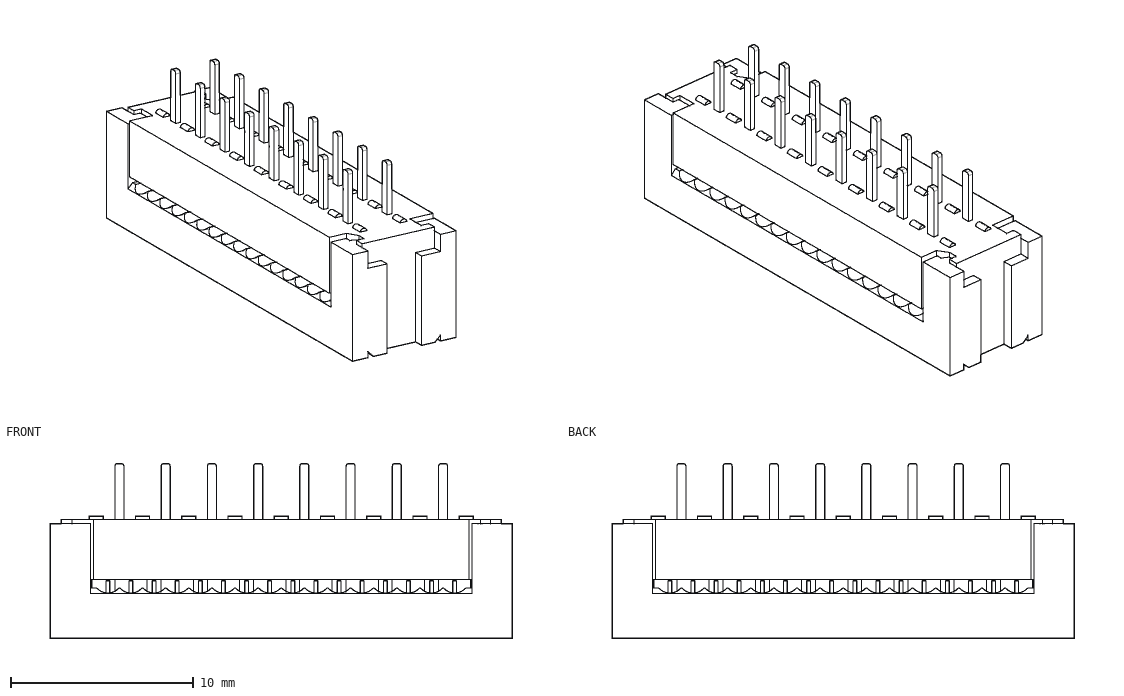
import cadquery as cq



LENGTH = 25.4
WIDTH = 6.73
PIN_TOP = 9.6

WALL_TOP = 6.3
WALL_LENGTH = 2.24
WALL_THICKNESS = 1.02
WALL_END_X = LENGTH / 2 - WALL_LENGTH
WALL_INNER_Y = WIDTH / 2 - WALL_THICKNESS

BODY_LENGTH = 24.18
BODY_TOP = 6.53
BODY_FACE_LENGTH = 20.62

WINDOW_FLOOR = 2.46
WINDOW_TOP = 3.23

PITCH = 1.27
WIRES = 16
RIDGE_HEIGHT = 0.3
GROOVE_DEPTH = 0.28
RIDGE_INNER_Y = 1.93
GROOVE_RADIUS = 0.81

RIB_INNER_Y = 1.12
RIB_TOP = 5.28
RIB_CHAMFER = 0.35

TAB_OUTER_X = 11.48
TAB_TIP_Y = 1.93
POCKET_TIP_Y = 1.85
KEYED_TAB_ROOT_X = 10.8
KEYED_TAB_TIP_X = 11.02
KEYED_POCKET_TIP_X = 10.95
KEYED_POCKET_END_Y = 2.25

ROW_Y = 1.27
CONTACT_THICKNESS = 0.3
BLADE_WIDTH = 1.78
SLIT_WIDTH = 0.19
SLIT_TOP = 3.15
PIN_WIDTH = 0.5
PIN_TIP_RADIUS = 0.15

BUMP_COUNT = 9
BUMP_LENGTH = 0.8
BUMP_HEIGHT = 0.18
BUMP_RADIUS = 0.23
BUMP_Y = 1.3


def block(x0, x1, y0, y1, z0, z1):
    """Box given by its limits along each axis."""
    return cq.Workplane("XY").box(x1 - x0, y1 - y0, z1 - z0, centered=False).translate((x0, y0, z0))


def prism(points, z0, z1):
    """Upright prism on a plan outline."""
    return cq.Workplane("XY").workplane(offset=z0).polyline(points).close().extrude(z1 - z0)


def both_ends(shape):
    """The shape together with its half-turn copy about Z."""
    return shape.union(shape.rotate((0, 0, 0), (0, 0, 1), 180))


def housing():
    """Full-height core with the cover base and the wide body around it, crossed by the cable window."""
    half_y = WIDTH / 2
    core = block(-BODY_LENGTH / 2, BODY_LENGTH / 2, -WALL_INNER_Y, WALL_INNER_Y, 0, BODY_TOP)
    base = block(-LENGTH / 2, LENGTH / 2, -half_y, half_y, 0, WINDOW_FLOOR)
    notch = block(-LENGTH / 2, LENGTH / 2, -WALL_INNER_Y, WALL_INNER_Y, 0, WINDOW_FLOOR)
    face_x = BODY_FACE_LENGTH / 2
    upper = block(-face_x, face_x, -half_y, half_y, WINDOW_TOP, BODY_TOP)
    window = block(-WALL_END_X, WALL_END_X, -half_y, half_y, WINDOW_FLOOR, WINDOW_TOP)
    return core.union(base.cut(notch)).union(upper).cut(window)


def pocket_outlines():
    """Plan outlines of the square pocket at -X -Y and the keyed pocket at -X +Y."""
    face_x = BODY_FACE_LENGTH / 2
    square = [
        (-TAB_OUTER_X, -WALL_INNER_Y),
        (-TAB_OUTER_X, -POCKET_TIP_Y),
        (-face_x, -POCKET_TIP_Y),
        (-face_x, -WALL_INNER_Y),
    ]
    keyed = [
        (-TAB_OUTER_X, WALL_INNER_Y),
        (-TAB_OUTER_X, POCKET_TIP_Y),
        (-KEYED_POCKET_TIP_X, POCKET_TIP_Y),
        (-face_x, KEYED_POCKET_END_Y),
        (-face_x, WALL_INNER_Y),
    ]
    return square, keyed


def tab_outlines():
    """Plan outlines of the square tab at -X -Y and the keyed tab at -X +Y."""
    square = [
        (-TAB_OUTER_X, -WALL_INNER_Y),
        (-TAB_OUTER_X, -TAB_TIP_Y),
        (-WALL_END_X, -TAB_TIP_Y),
        (-WALL_END_X, -WALL_INNER_Y),
    ]
    keyed = [
        (-TAB_OUTER_X, WALL_INNER_Y),
        (-TAB_OUTER_X, TAB_TIP_Y),
        (-KEYED_TAB_TIP_X, TAB_TIP_Y),
        (-KEYED_TAB_ROOT_X, WALL_INNER_Y),
    ]
    return square, keyed


def pockets():
    square, keyed = pocket_outlines()
    pair = prism(square, WINDOW_TOP, BODY_TOP).union(prism(keyed, WINDOW_TOP, BODY_TOP))
    return both_ends(pair)


def walls():
    """Corner walls with their locking tabs."""
    square, keyed = tab_outlines()
    front = block(-LENGTH / 2, -WALL_END_X, -WIDTH / 2, -WALL_INNER_Y, 0, WALL_TOP)
    front = front.union(prism(square, WINDOW_FLOOR, WALL_TOP))
    back = block(-LENGTH / 2, -WALL_END_X, WALL_INNER_Y, WIDTH / 2, 0, WALL_TOP)
    back = back.union(prism(keyed, WINDOW_FLOOR, WALL_TOP))
    return both_ends(front.union(back))


def end_ribs():
    """Ribs beside the walls, bevelled at the bottom where they meet them."""
    profile = [
        (RIB_INNER_Y, 0),
        (WALL_INNER_Y - RIB_CHAMFER, 0),
        (WALL_INNER_Y, RIB_CHAMFER),
        (WALL_INNER_Y, RIB_TOP),
        (RIB_INNER_Y, RIB_TOP),
    ]
    rib_depth = (LENGTH - BODY_LENGTH) / 2
    rib = cq.Workplane("YZ").workplane(offset=-LENGTH / 2).polyline(profile).close().extrude(rib_depth)
    return both_ends(rib.union(rib.mirror("XZ")))


def cable_ridges():
    """Bevelled ridge along each long side, grooved across for the wires."""
    ridge_top = WINDOW_FLOOR + RIDGE_HEIGHT
    axis_z = ridge_top - GROOVE_DEPTH + GROOVE_RADIUS
    outer_y = WIDTH / 2
    profile = [
        (RIDGE_INNER_Y, WINDOW_FLOOR),
        (outer_y, WINDOW_FLOOR),
        (outer_y - RIDGE_HEIGHT, ridge_top),
        (RIDGE_INNER_Y + RIDGE_HEIGHT, ridge_top),
    ]
    ridge = cq.Workplane("YZ").workplane(offset=-WALL_END_X).polyline(profile).close().extrude(2 * WALL_END_X)
    ridges = ridge.union(ridge.mirror("XZ"))
    groove = cq.Workplane("XZ").center(0, axis_z).circle(GROOVE_RADIUS).extrude(outer_y, both=True)
    for i in range(WIRES):
        ridges = ridges.cut(groove.translate(((i - (WIRES - 1) / 2) * PITCH, 0, 0)))
    return ridges


def row_places(count):
    """X places of evenly spaced items, two wire pitches apart and centred on X = 0."""
    return [(2 * i - (count - 1)) * PITCH for i in range(count)]


def blade(pin_x):
    """Front-row blade across the window, slit from below and flush with the pin's -X edge."""
    y0 = -ROW_Y - CONTACT_THICKNESS / 2
    y1 = -ROW_Y + CONTACT_THICKNESS / 2
    left = pin_x - PIN_WIDTH / 2
    slit_left = left + (BLADE_WIDTH - SLIT_WIDTH) / 2
    plate = block(left, left + BLADE_WIDTH, y0, y1, WINDOW_FLOOR, WINDOW_TOP)
    slit = block(slit_left, slit_left + SLIT_WIDTH, y0, y1, WINDOW_FLOOR, SLIT_TOP)
    return plate.cut(slit).val()


def pin(x):
    """Front-row solder pin with a rounded tip."""
    height = PIN_TOP - BODY_TOP
    shape = cq.Workplane("XY").box(PIN_WIDTH, CONTACT_THICKNESS, height, centered=(True, True, False))
    shape = shape.faces(">Z").edges("|Y").fillet(PIN_TIP_RADIUS)
    return shape.translate((x, -ROW_Y, BODY_TOP)).val()


def bump(x):
    """Half-round bump of the front row."""
    axis_z = BODY_TOP + BUMP_HEIGHT - BUMP_RADIUS
    return (
        cq.Workplane("YZ").workplane(offset=x - BUMP_LENGTH / 2)
        .center(-BUMP_Y, axis_z).circle(BUMP_RADIUS).extrude(BUMP_LENGTH).val()
    )


def front_row():
    """All blades, pins and bumps of the front row, as a list of solids."""
    parts = [bump(x) for x in row_places(BUMP_COUNT)]
    for x in row_places(WIRES // 2):
        parts += [blade(x), pin(x)]
    return parts


plastic = housing().cut(pockets()).union(walls()).union(end_ribs()).union(cable_ridges())

front_parts = front_row()
back_parts = [part.rotate((0, 0, 0), (0, 0, 1), 180) for part in front_parts]
result = cq.Workplane(plastic.val().fuse(*front_parts, *back_parts).Solids()[0])